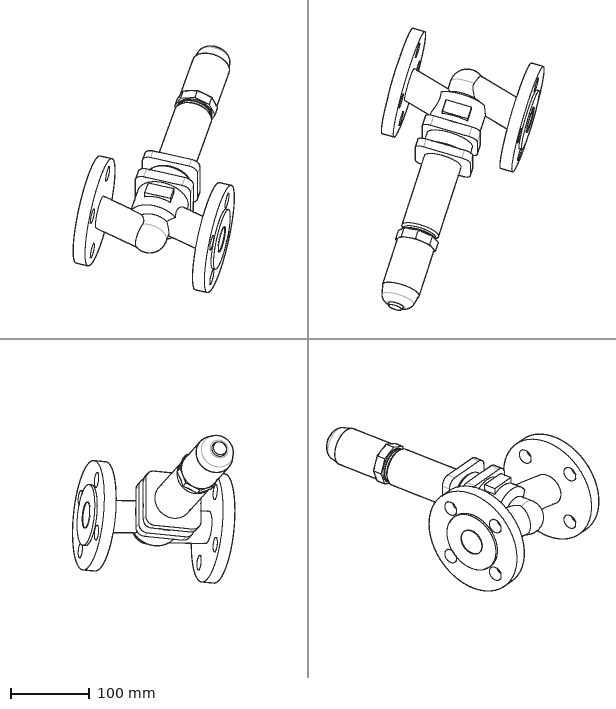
import cadquery as cq
import math


overall_length = 361.0
face_to_face = 180.0
flange_radius = 70.0
flange_thickness = 16.0
raised_face_radius = 39.0
raised_face_height = 3.2
port_radius = 16.5
port_depth = 1.0
bolt_circle_radius = 50.0
bolt_hole_radius = 9.5
bolt_count = 4

pipe_radius = 20.5
pipe_tilt = 15.0
elbow_radius = 22.5

body_radius = 33.5
body_bottom_y = 3.5
body_cone_end_y = -1.8
body_plate_bottom_y = 42.5
body_plate_thickness = 13.5
collar_radius = 30.3
collar_top_y = 71.8
collar_neck_radius = 27.8
bonnet_plate_bottom_y = 75.0
bonnet_plate_thickness = 11.2
plate_side = 73.3
plate_corner_radius = 11.2

sleeve_radius = 24.5
sleeve_chamfer_start_y = 183.5
sleeve_top_y = 186.2
groove_radius = 21.5
groove_top_y = 189.0
thread_radius = 22.7
nut_bottom_y = 191.3
nut_height = 12.3
nut_side_count = 8
nut_corner_radius = 26.7

cap_taper_start_y = 266.7
cap_taper_radius = 24.0
cap_shoulder_y = 279.5
cap_shoulder_radius = 21.3
cap_dome_top_y = 287.5
cap_dome_top_radius = 12.0
cap_dome_arc_radius = 12.3
button_base_radius = 9.7
button_top_radius = 8.5
button_top_y = overall_length - flange_radius

pad_width = 34.0
pad_bottom_y = 17.7
pad_top_y = 34.0
pad_top_z = 37.5

flange_back_x = face_to_face / 2 - raised_face_height - flange_thickness
pipe_rise = flange_back_x * math.tan(math.radians(pipe_tilt))
elbow_center_y = -pipe_rise


def make_flange(side):
    """Flange with raised face and bolt holes; side is -1 or +1 along X."""
    flange = (
        cq.Workplane("YZ")
        .workplane(offset=flange_back_x)
        .circle(flange_radius)
        .extrude(flange_thickness)
        .faces(">X")
        .workplane()
        .circle(raised_face_radius)
        .extrude(raised_face_height)
        .faces(">X")
        .workplane()
        .circle(port_radius)
        .cutBlind(-port_depth)
        .faces(">X")
        .workplane()
        .polarArray(bolt_circle_radius, 180 / bolt_count, 360, bolt_count)
        .circle(bolt_hole_radius)
        .cutThruAll()
    )
    return flange if side > 0 else flange.mirror("YZ")


def make_pipe(side):
    """Tilted pipe from the bonnet axis to the back of one flange."""
    run = cq.Vector(side * flange_back_x, -side * pipe_rise, 0)
    start = cq.Vector(0, side * pipe_rise, 0)
    length = run.Length + flange_thickness / 2
    return cq.Workplane(cq.Solid.makeCylinder(pipe_radius, length, start, run))


def make_plate(bottom_y, thickness):
    """Square plate with rounded corners, across the bonnet axis."""
    return (
        cq.Workplane("XZ", origin=(0, bottom_y, 0))
        .rect(plate_side, plate_side)
        .extrude(-thickness)
        .edges("|Y")
        .fillet(plate_corner_radius)
    )


def make_turned_body():
    """Everything round about the Y axis, from the elbow to the cap button."""
    body_plate_top_y = body_plate_bottom_y + body_plate_thickness
    bonnet_plate_top_y = bonnet_plate_bottom_y + bonnet_plate_thickness
    return (
        cq.Workplane("XY")
        .moveTo(0, elbow_center_y - elbow_radius)
        .radiusArc((elbow_radius, elbow_center_y), -elbow_radius)
        .lineTo(elbow_radius, body_cone_end_y)
        .lineTo(body_radius, body_bottom_y)
        .lineTo(body_radius, body_plate_top_y)
        .lineTo(collar_radius, body_plate_top_y)
        .lineTo(collar_radius, collar_top_y)
        .lineTo(collar_neck_radius, collar_top_y)
        .lineTo(collar_neck_radius, bonnet_plate_top_y)
        .lineTo(sleeve_radius, bonnet_plate_top_y)
        .lineTo(sleeve_radius, sleeve_chamfer_start_y)
        .lineTo(groove_radius, sleeve_top_y)
        .lineTo(groove_radius, groove_top_y)
        .lineTo(thread_radius, groove_top_y)
        .lineTo(thread_radius, nut_bottom_y)
        .lineTo(sleeve_radius, nut_bottom_y)
        .lineTo(sleeve_radius, cap_taper_start_y)
        .lineTo(cap_taper_radius, cap_taper_start_y)
        .lineTo(cap_shoulder_radius, cap_shoulder_y)
        .radiusArc((cap_dome_top_radius, cap_dome_top_y), -cap_dome_arc_radius)
        .lineTo(button_base_radius, cap_dome_top_y)
        .lineTo(button_top_radius, button_top_y)
        .lineTo(0, button_top_y)
        .close()
        .revolve(360, (0, 0, 0), (0, 1, 0))
    )


def make_nut():
    """Octagonal nut with corners on the X and Z axes."""
    return (
        cq.Workplane("XZ", origin=(0, nut_bottom_y, 0))
        .polygon(nut_side_count, 2 * nut_corner_radius)
        .extrude(-nut_height)
    )


def make_pad():
    """Flat-topped name plate pad, rooted inside the body."""
    return (
        cq.Workplane("XY")
        .center(0, (pad_bottom_y + pad_top_y) / 2)
        .rect(pad_width, pad_top_y - pad_bottom_y)
        .extrude(pad_top_z)
    )


result = make_turned_body()
for side in (-1, 1):
    result = result.union(make_pipe(side)).union(make_flange(side))
result = (
    result.union(make_plate(body_plate_bottom_y, body_plate_thickness))
    .union(make_plate(bonnet_plate_bottom_y, bonnet_plate_thickness))
    .union(make_nut())
    .union(make_pad())
)